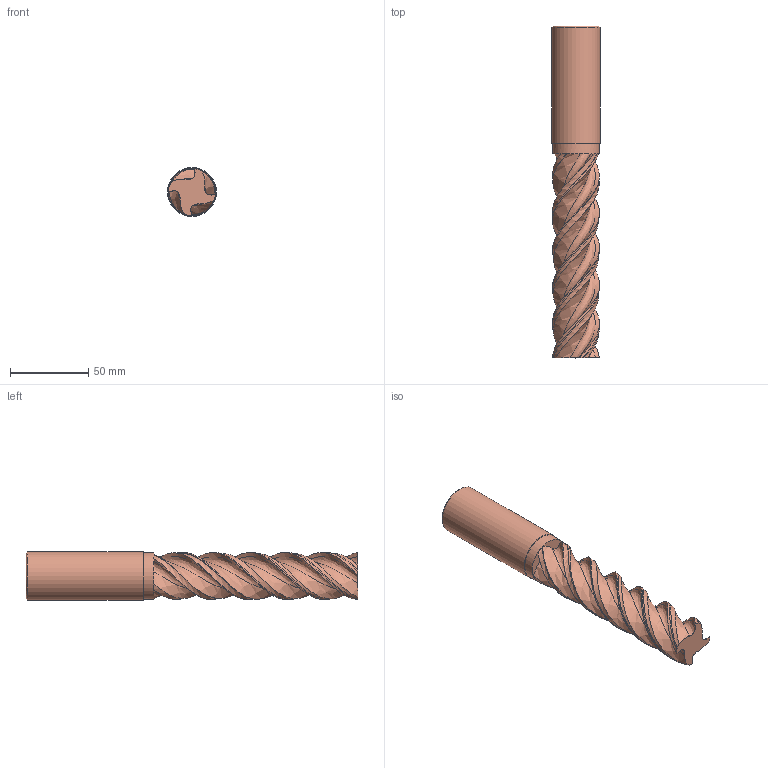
import cadquery as cq
import math


overall_length = 211.78
flute_length = 130.4
neck_end = 137.0

shank_diameter = 31.14
cutting_diameter = 30.0
shank_chamfer = 0.9

helix_angle = 45.0
cutting_radius = cutting_diameter / 2
helix_lead = math.pi * cutting_diameter / math.tan(math.radians(helix_angle))
flute_twist = 360.0 * flute_length / helix_lead

first_edge_angle = 83.5
edge_spacings = [95.0, 90.0, 85.0, 90.0]

relief_start_fraction = 0.35
relief_start_radius = 15.05
primary_relief_angle = 6.0
primary_relief_radius = 14.93
secondary_relief_angle = 25.0
secondary_relief_radius = 14.4
relief_outer_radius = 17.0
relief_drift_fraction = 0.75

rake_foot = (12.4, -0.3)
gullet_middle = (9.2, 0.2)
floor_start = (7.95, 2.1)
floor_end = (7.55, 4.7)
back_middle = (6.9, 9.4)
flute_span_angle = 71.0


def polar(radius, angle):
    """Point at a radius and an angle in degrees."""
    return (radius * math.cos(math.radians(angle)), radius * math.sin(math.radians(angle)))


def turned(point, angle):
    """Point of the flute section, turned to the direction of its cutting edge."""
    along, across = point
    cosine = math.cos(math.radians(angle))
    sine = math.sin(math.radians(angle))
    return (along * cosine - across * sine, along * sine + across * cosine)


def add_flute(outline, edge_angle):
    """Continue the outline from a cutting edge through its flute to the heel of the next tooth."""
    gullet = [gullet_middle, floor_start, floor_end]
    return (
        outline.lineTo(*turned(rake_foot, edge_angle))
        .spline([turned(point, edge_angle) for point in gullet], includeCurrent=True)
        .threePointArc(
            turned(back_middle, edge_angle),
            polar(cutting_radius, edge_angle + flute_span_angle),
        )
    )


def add_land(outline, heel_angle, edge_angle):
    """Continue the outline from a tooth's heel over its round land to its cutting edge."""
    return outline.threePointArc(
        polar(cutting_radius, (heel_angle + edge_angle) / 2),
        polar(cutting_radius, edge_angle),
    )


def make_fluted_body():
    """Twist the tooth section from the neck to the cutting end."""
    edge_angle = first_edge_angle - flute_twist
    neck_face = cq.Workplane("XZ", origin=(0, flute_length, 0))
    outline = neck_face.moveTo(*polar(cutting_radius, edge_angle))
    for spacing in edge_spacings:
        outline = add_flute(outline, edge_angle)
        heel_angle = edge_angle + flute_span_angle
        edge_angle += spacing
        outline = add_land(outline, heel_angle, edge_angle)
    return outline.close().twistExtrude(flute_length, flute_twist)


def make_relief(edge_angle, land_angle):
    """Twisted wedge that takes both relief flats off the land of one tooth."""
    relief_twist = flute_twist - relief_drift_fraction * land_angle
    relief_start = edge_angle - relief_start_fraction * land_angle - relief_twist
    primary_end = relief_start - primary_relief_angle
    secondary_end = relief_start - secondary_relief_angle
    corners = [
        polar(relief_outer_radius, relief_start),
        polar(relief_start_radius, relief_start),
        polar(primary_relief_radius, primary_end),
        polar(secondary_relief_radius, secondary_end),
        polar(relief_outer_radius, secondary_end),
    ]
    neck_face = cq.Workplane("XZ", origin=(0, flute_length, 0))
    return neck_face.polyline(corners).close().twistExtrude(flute_length, relief_twist)


def make_neck():
    """Round neck between the flutes and the shank."""
    neck_length = neck_end - flute_length
    return cq.Workplane("XZ", origin=(0, neck_end, 0)).circle(cutting_radius).extrude(neck_length)


def make_shank():
    """Plain round shank with a chamfered rear end."""
    shank_length = overall_length - neck_end
    shank = cq.Workplane("XZ", origin=(0, overall_length, 0)).circle(shank_diameter / 2)
    return shank.extrude(shank_length).faces(">Y").chamfer(shank_chamfer)


fluted_body = make_fluted_body()
edge_direction = first_edge_angle
for edge_spacing in edge_spacings:
    edge_direction += edge_spacing
    fluted_body = fluted_body.cut(make_relief(edge_direction, edge_spacing - flute_span_angle))

result = make_shank().union(make_neck()).union(fluted_body)